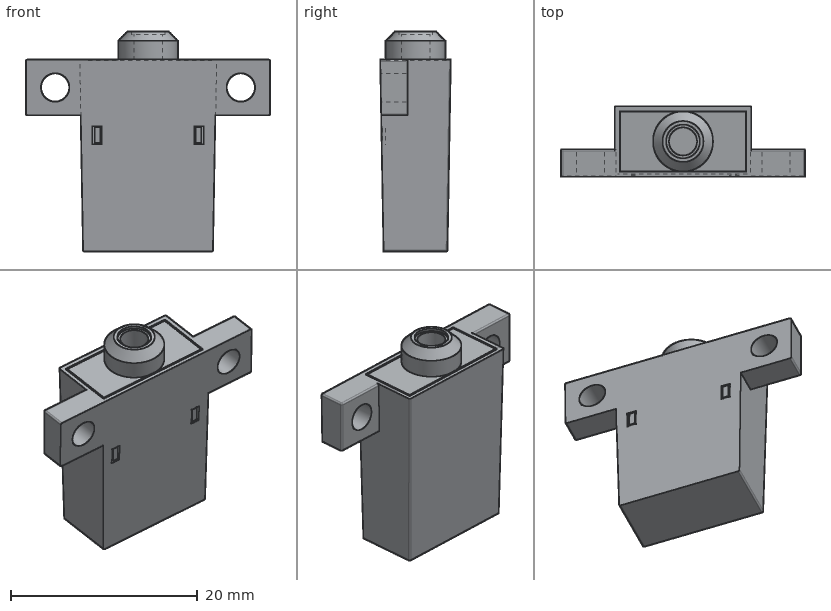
import cadquery as cq
import math


body_width = 14.67
body_depth = 7.6
body_height = 20.6
draft_angle = 1.0
draft_slope = math.tan(math.radians(draft_angle))
edge_radius = 0.18

flange_length = 26.2
flange_thickness = 2.99
flange_height = 6.0
flange_hole_diameter = 3.0
flange_hole_spacing = 19.9

lid_margin = 0.55
groove_width = 0.08
groove_depth = 0.1

button_diameter = 6.45
button_tip_diameter = 4.4
button_height = 3.0
button_bevel_height = 1.02
bore_diameter = 3.0
recess_diameter = 3.62
recess_depth = 0.3

window_width = 1.02
window_height = 1.89
window_center_x = 5.45
window_center_z = -8.12
window_floor_y = 0.55
tab_face_y = 0.2
tab_outboard_gap = 0.24
tab_inboard_gap = 0.15
tab_top_gap = 0.08
tab_bottom_gap = 0.15


def make_body():
    """Drafted box with a sharp front; its back and bottom edges are rounded."""
    body = (
        cq.Workplane("XY")
        .center(0, body_depth / 2)
        .rect(body_width, body_depth)
        .extrude(-body_height, taper=draft_angle)
    )
    back_corners = body.faces(">Y").edges("not #Z")
    back_bottom = body.faces("<Z").edges(">Y")
    side_bottoms = body.faces("<Z").edges("not |X")
    return back_corners.add(back_bottom).add(side_bottoms).fillet(edge_radius)


def make_flange():
    """Cross bar whose front follows the drafted front of the housing."""
    flange = (
        cq.Workplane("YZ")
        .polyline([
            (0, 0),
            (flange_thickness, 0),
            (flange_thickness, -flange_height),
            (flange_height * draft_slope, -flange_height),
        ])
        .close()
        .extrude(flange_length / 2, both=True)
    )
    flange = flange.edges("|Y").add(flange.faces(">Y").edges()).fillet(edge_radius)
    holes = (
        cq.Workplane("XZ")
        .pushPoints([(side * flange_hole_spacing / 2, -flange_height / 2) for side in (-1, 1)])
        .circle(flange_hole_diameter / 2)
        .extrude(-flange_thickness)
    )
    return flange.cut(holes)


def make_lid_groove():
    """Thin rectangular ring that separates the lid from the housing wall."""
    outer_width = body_width - 2 * lid_margin
    outer_depth = body_depth - 2 * lid_margin
    return (
        cq.Workplane("XY")
        .center(0, body_depth / 2)
        .rect(outer_width, outer_depth)
        .rect(outer_width - 2 * groove_width, outer_depth - 2 * groove_width)
        .extrude(-groove_depth)
    )


def make_button():
    """Bevelled round button with a stepped bore, standing on the lid."""
    shoulder_height = button_height - button_bevel_height
    recess_floor = button_height - recess_depth
    profile = [
        (bore_diameter / 2, 0),
        (button_diameter / 2, 0),
        (button_diameter / 2, shoulder_height),
        (button_tip_diameter / 2, button_height),
        (recess_diameter / 2, button_height),
        (recess_diameter / 2, recess_floor),
        (bore_diameter / 2, recess_floor),
    ]
    button = cq.Workplane("XZ").polyline(profile).close().revolve(360, (0, 0), (0, 1))
    return button.translate((0, body_depth / 2, 0))


def make_window(side):
    """Material removed for one window: the opening less its latch tab (side: -1 left, 1 right)."""
    center = (side * window_center_x, window_center_z)
    tab_width = window_width - tab_outboard_gap - tab_inboard_gap
    tab_height = window_height - tab_top_gap - tab_bottom_gap
    tab_shift_x = side * (tab_inboard_gap - tab_outboard_gap) / 2
    tab_shift_z = (tab_bottom_gap - tab_top_gap) / 2
    opening = (
        cq.Workplane("XZ")
        .center(*center)
        .rect(window_width, window_height)
        .extrude(-window_floor_y)
    )
    tab = (
        cq.Workplane("XZ", origin=(0, tab_face_y, 0))
        .center(center[0] + tab_shift_x, center[1] + tab_shift_z)
        .rect(tab_width, tab_height)
        .extrude(tab_face_y - window_floor_y)
    )
    return opening.cut(tab)


housing = make_body().union(make_flange()).cut(make_lid_groove())
for side in (-1, 1):
    housing = housing.cut(make_window(side))

result = housing.union(make_button())